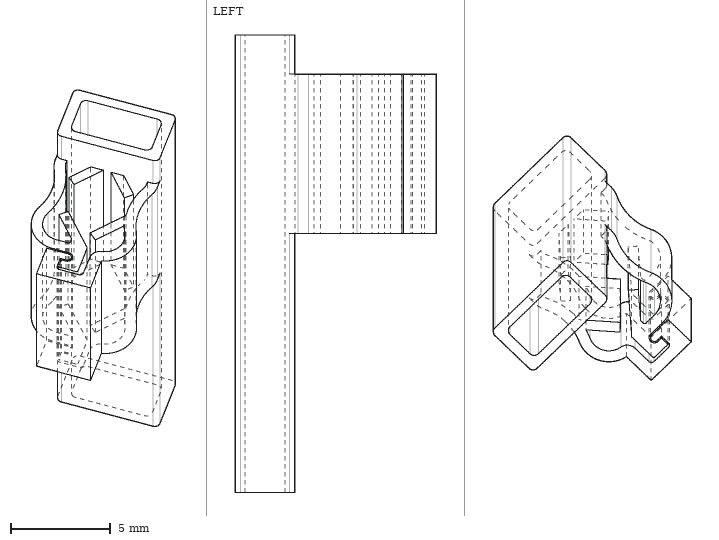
import cadquery as cq
import math

WIDTH = 5.4
TUBE_DEPTH = 3.0
TUBE_HEIGHT = 23.0
TUBE_CORNER = 0.28
CAVITY_WIDTH = 4.25
CAVITY_DEPTH = 2.0
CAVITY_CORNER = 0.3

TOTAL_DEPTH = 10.1
CLIP_HEIGHT = 8.0
CLIP_TOP = 21.02
CLIP_BOTTOM = CLIP_TOP - CLIP_HEIGHT
CLIP_FRONT = TUBE_DEPTH - TOTAL_DEPTH
SIDE = WIDTH / 2

WALL = 0.58
BULGE_RADIUS = 1.59
BULGE_INNER = BULGE_RADIUS - WALL
BULGE_X = SIDE - BULGE_RADIUS
BULGE_Y = -3.8
WAIST_RADIUS = 2.85
WAIST_Y = -1.93
SHOULDER_RADIUS = 1.2
BULGE_TILT = math.asin((WAIST_Y - BULGE_Y) / (BULGE_RADIUS + WAIST_RADIUS))
WAIST_X = BULGE_X + (BULGE_RADIUS + WAIST_RADIUS) * math.cos(BULGE_TILT)
SHOULDER_X = SIDE - SHOULDER_RADIUS
SHOULDER_TILT = math.acos((WAIST_X - SHOULDER_X) / (WAIST_RADIUS + SHOULDER_RADIUS))
SHOULDER_Y = WAIST_Y + (WAIST_RADIUS + SHOULDER_RADIUS) * math.sin(SHOULDER_TILT)

BLOCK_HALF = 1.43
LATCH_GAP = 0.07
SLOT_RIGHT = 0.8
SLOT_LEFT = -0.58
SLOT_FLOOR = -6.5
SLOT_CORNER = 0.18
ENTRY_RADIUS = 0.55
NOSE_RADIUS = 0.195
NOSE_X = -0.265
TONGUE_RIGHT = 0.5
TONGUE_BOTTOM = -6.37
TONGUE_CORNER = 0.1
BULGE_FRONT = BULGE_Y - BULGE_RADIUS
BLOCK_BACK = BULGE_FRONT - LATCH_GAP
NOSE_Y = BLOCK_BACK - NOSE_RADIUS
SOCKET_RADIUS = NOSE_RADIUS + LATCH_GAP

FINGER_THICKNESS = 0.5
FINGER_ANGLE = math.radians(49)
FINGER_ROOT_OVERLAP = 0.35
UPPER_TIP = (1.52, -1.13)
RIGHT_TIP = (0.55, -4.05)
RIGHT_FINGER_LENGTH = 2.18
TONGUE_TIP = (-1.29, -3.13)
POCKET_X = -0.41
POCKET_FILLET = 0.1


def on_circle(center_x, center_y, radius, angle):
    return (center_x + radius * math.cos(angle), center_y + radius * math.sin(angle))


def extrude_clip(outline):
    return outline.extrude(CLIP_HEIGHT)


def clip_plane():
    return cq.Workplane("XY").workplane(offset=CLIP_BOTTOM)


def make_tube():
    center_y = TUBE_DEPTH / 2
    body = (
        cq.Workplane("XY").center(0, center_y).rect(WIDTH, TUBE_DEPTH)
        .extrude(TUBE_HEIGHT).edges("|Z").fillet(TUBE_CORNER)
    )
    cavity = (
        cq.Workplane("XY").center(0, center_y).rect(CAVITY_WIDTH, CAVITY_DEPTH)
        .extrude(TUBE_HEIGHT).edges("|Z").fillet(CAVITY_CORNER)
    )
    return body.cut(cavity)


def make_side_wall(end_angle):
    """Right-hand wall, ending at the given angle around the bulge centre."""
    bulge_middle = (BULGE_TILT + end_angle) / 2

    def shoulder(offset, angle):
        return on_circle(SHOULDER_X, SHOULDER_Y, SHOULDER_RADIUS - offset, angle)

    def waist(offset, angle):
        return on_circle(WAIST_X, WAIST_Y, WAIST_RADIUS + offset, angle)

    def bulge(offset, angle):
        return on_circle(BULGE_X, BULGE_Y, BULGE_RADIUS - offset, angle)

    outline = (
        clip_plane().moveTo(SIDE, TUBE_CORNER)
        .lineTo(*shoulder(0, 0))
        .threePointArc(shoulder(0, -SHOULDER_TILT / 2), shoulder(0, -SHOULDER_TILT))
        .threePointArc(waist(0, math.pi), waist(0, math.pi + BULGE_TILT))
        .threePointArc(bulge(0, bulge_middle), bulge(0, end_angle))
        .lineTo(*bulge(WALL, end_angle))
        .threePointArc(bulge(WALL, bulge_middle), bulge(WALL, BULGE_TILT))
        .threePointArc(waist(WALL, math.pi), shoulder(WALL, -SHOULDER_TILT))
        .threePointArc(shoulder(WALL, -SHOULDER_TILT / 2), shoulder(WALL, 0))
        .lineTo(SIDE - WALL, TUBE_CORNER)
        .close()
    )
    return extrude_clip(outline)


def make_block():
    """Latch block with its nose and the rounded entry from the right bulge."""
    entry_x = SLOT_RIGHT + ENTRY_RADIUS
    reach = BULGE_INNER + ENTRY_RADIUS
    entry_y = BULGE_Y - math.sqrt(reach**2 - (entry_x - BULGE_X)**2)
    entry_end = math.atan2(BULGE_Y - entry_y, BULGE_X - entry_x)
    entry_middle = (math.pi + entry_end) / 2
    outer_y = BULGE_Y - math.sqrt(BULGE_RADIUS**2 - (BLOCK_HALF - BULGE_X)**2)
    inner_y = BULGE_Y - math.sqrt(BULGE_INNER**2 - (BLOCK_HALF - BULGE_X)**2)
    inner_start = -math.acos((BLOCK_HALF - BULGE_X) / BULGE_INNER)
    inner_end = entry_end - math.pi
    inner_middle = on_circle(BULGE_X, BULGE_Y, BULGE_INNER, (inner_start + inner_end) / 2)
    outline = (
        clip_plane().moveTo(-BLOCK_HALF, CLIP_FRONT)
        .lineTo(BLOCK_HALF, CLIP_FRONT)
        .lineTo(BLOCK_HALF, outer_y)
        .lineTo(BLOCK_HALF, inner_y)
        .threePointArc(inner_middle, on_circle(entry_x, entry_y, ENTRY_RADIUS, entry_end))
        .threePointArc(
            on_circle(entry_x, entry_y, ENTRY_RADIUS, entry_middle), (SLOT_RIGHT, entry_y)
        )
        .lineTo(SLOT_RIGHT, SLOT_FLOOR + SLOT_CORNER)
        .radiusArc((SLOT_RIGHT - SLOT_CORNER, SLOT_FLOOR), SLOT_CORNER)
        .lineTo(SLOT_LEFT + SLOT_CORNER, SLOT_FLOOR)
        .radiusArc((SLOT_LEFT, SLOT_FLOOR + SLOT_CORNER), SLOT_CORNER)
        .lineTo(SLOT_LEFT, NOSE_Y - NOSE_RADIUS)
        .lineTo(NOSE_X, NOSE_Y - NOSE_RADIUS)
        .threePointArc((NOSE_X + NOSE_RADIUS, NOSE_Y), (NOSE_X, BLOCK_BACK))
        .lineTo(-BLOCK_HALF, BLOCK_BACK)
        .close()
    )
    return extrude_clip(outline)


def make_tongue():
    """Hooked tongue on the left bulge, including its slanted finger."""
    slope = math.tan(FINGER_ANGLE)
    half_x = FINGER_THICKNESS / 2 * math.sin(FINGER_ANGLE)
    half_y = FINGER_THICKNESS / 2 * math.cos(FINGER_ANGLE)
    tip_x, tip_y = TONGUE_TIP
    right_tip = (tip_x + half_x, tip_y + half_y)
    left_tip = (tip_x - half_x, tip_y - half_y)
    tongue_back = right_tip[1] - slope * (TONGUE_RIGHT - right_tip[0])
    pocket_back = left_tip[1] - slope * (POCKET_X - left_tip[0])
    bulge_back = BULGE_FRONT + WALL
    hook_left = SLOT_LEFT + LATCH_GAP
    outline = (
        clip_plane().moveTo(-BULGE_X, BULGE_FRONT)
        .lineTo(NOSE_X, BULGE_FRONT)
        .threePointArc((NOSE_X + SOCKET_RADIUS, NOSE_Y), (NOSE_X, NOSE_Y - SOCKET_RADIUS))
        .lineTo(hook_left, NOSE_Y - SOCKET_RADIUS)
        .lineTo(hook_left, TONGUE_BOTTOM)
        .lineTo(TONGUE_RIGHT - TONGUE_CORNER, TONGUE_BOTTOM)
        .radiusArc((TONGUE_RIGHT, TONGUE_BOTTOM + TONGUE_CORNER), -TONGUE_CORNER)
        .lineTo(TONGUE_RIGHT, tongue_back)
        .lineTo(*right_tip)
        .lineTo(*left_tip)
        .lineTo(POCKET_X, pocket_back)
        .lineTo(POCKET_X, bulge_back + POCKET_FILLET)
        .radiusArc((POCKET_X - POCKET_FILLET, bulge_back), POCKET_FILLET)
        .lineTo(-BULGE_X, bulge_back)
        .close()
    )
    return extrude_clip(outline)


def make_finger(tip, length, side):
    """Straight finger from its tip centre; side = 1 leans right towards the tube."""
    along_x = side * math.cos(FINGER_ANGLE)
    along_y = math.sin(FINGER_ANGLE)
    center = (tip[0] + along_x * length / 2, tip[1] + along_y * length / 2)
    turn = side * math.degrees(FINGER_ANGLE)
    return (
        cq.Workplane("XY").rect(length, FINGER_THICKNESS).extrude(CLIP_HEIGHT)
        .rotate((0, 0, 0), (0, 0, 1), turn).translate((*center, CLIP_BOTTOM))
    )


left_wall = make_side_wall(-math.pi / 2).mirror("YZ")
block_end_angle = -math.acos((BLOCK_HALF - BULGE_X) / BULGE_RADIUS)
right_wall = make_side_wall(block_end_angle)

result = make_tube().union(left_wall).union(right_wall).union(make_block()).union(make_tongue())

upper_length = -UPPER_TIP[1] / math.sin(FINGER_ANGLE) + FINGER_ROOT_OVERLAP
for side in (-1, 1):
    upper_tip = (side * UPPER_TIP[0], UPPER_TIP[1])
    result = result.union(make_finger(upper_tip, upper_length, -side))

result = result.union(make_finger(RIGHT_TIP, RIGHT_FINGER_LENGTH, 1))